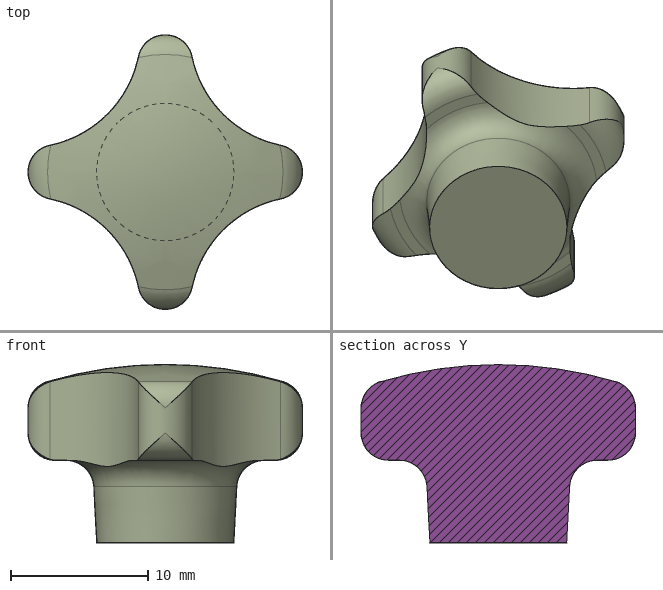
import cadquery as cq
import math

outer_radius = 10.0
total_height = 13.0
dome_radius = 30.0
head_bottom = 6.0
rim_radius = 2.0
lobe_radius = 2.0
scallop_radius = 8.3
stem_radius = 5.0
stem_draft = math.radians(3.0)
neck_radius = 2.0
lobe_count = 4


def arc_point(center, radius, angle):
    """Point on a circle at an angle in radians."""
    return (center[0] + radius * math.cos(angle), center[1] + radius * math.sin(angle))


def knob_body():
    """Solid of revolution: drafted stem, neck fillet, rounded rim and dome."""
    neck_z = head_bottom - neck_radius
    stem_top_z = neck_z + neck_radius * math.sin(stem_draft)
    stem_top_r = stem_radius + stem_top_z * math.tan(stem_draft)
    neck_center = (stem_top_r + neck_radius * math.cos(stem_draft), neck_z)
    neck_mid_angle = (math.pi / 2 + math.pi - stem_draft) / 2

    rim_r = outer_radius - rim_radius
    lower_rim = (rim_r, head_bottom + rim_radius)
    dome_center = (0, total_height - dome_radius)
    dome_edge_angle = math.acos(rim_r / (dome_radius - rim_radius))
    upper_rim = arc_point(dome_center, dome_radius - rim_radius, dome_edge_angle)
    dome_edge = arc_point(dome_center, dome_radius, dome_edge_angle)
    dome_mid = arc_point(dome_center, dome_radius, (dome_edge_angle + math.pi / 2) / 2)

    return (
        cq.Workplane("XZ")
        .lineTo(stem_radius, 0)
        .lineTo(stem_top_r, stem_top_z)
        .threePointArc(
            arc_point(neck_center, neck_radius, neck_mid_angle),
            (neck_center[0], head_bottom),
        )
        .lineTo(rim_r, head_bottom)
        .threePointArc(
            arc_point(lower_rim, rim_radius, -math.pi / 4),
            (outer_radius, lower_rim[1]),
        )
        .lineTo(outer_radius, upper_rim[1])
        .threePointArc(arc_point(upper_rim, rim_radius, dome_edge_angle / 2), dome_edge)
        .threePointArc(dome_mid, (0, total_height))
        .close()
        .revolve(360, (0, 0), (0, 1))
    )


def lobe_prism():
    """Full-height prism whose lobe tips blend tangentially into the scallops."""
    half_pitch = math.pi / lobe_count
    lobe_distance = outer_radius - lobe_radius
    scallop_distance = lobe_distance * math.cos(half_pitch) + math.sqrt(
        (scallop_radius + lobe_radius) ** 2 - (lobe_distance * math.sin(half_pitch)) ** 2
    )
    scallop_center = arc_point((0, 0), scallop_distance, half_pitch)
    blend_angle = math.atan2(scallop_center[1], scallop_center[0] - lobe_distance)
    blend = arc_point((lobe_distance, 0), lobe_radius, blend_angle)
    blend_distance = math.hypot(*blend)
    blend_offset = math.atan2(blend[1], blend[0])

    outline = cq.Workplane("XY").moveTo(blend[0], -blend[1])
    for index in range(lobe_count):
        direction = 2 * half_pitch * index
        tip = arc_point((0, 0), outer_radius, direction)
        lobe_end = arc_point((0, 0), blend_distance, direction + blend_offset)
        valley = arc_point((0, 0), scallop_distance - scallop_radius, direction + half_pitch)
        next_lobe = arc_point((0, 0), blend_distance, direction + 2 * half_pitch - blend_offset)
        outline = outline.threePointArc(tip, lobe_end).threePointArc(valley, next_lobe)
    return outline.close().extrude(total_height)


result = knob_body().intersect(lobe_prism())